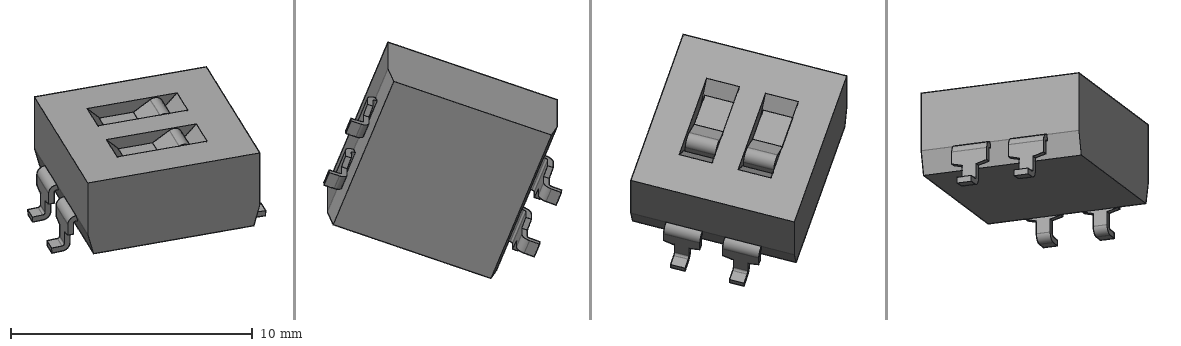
import cadquery as cq
import math

body_width = 7.06
body_length = 7.49
body_bottom = 0.93
body_top = 4.44
taper_height = 1.0
taper_inset = 0.26
taper_top = body_bottom + taper_height

pitch = 2.54
slot_width = 1.42
slot_length = 3.91
slot_depth = 0.94
slot_end_run = 0.9

slider_pitch = 2.52
slider_width = 1.305
slider_flat_depth = 0.52
nub_radius = 0.36
nub_back = 1.32
ramp_angle = math.radians(32.5)

lead_span = 9.32
lead_offset = -0.05
lead_thickness = 0.25
lead_stand_off = 0.36
bend_inner_radius = 0.1
bend_outer_radius = bend_inner_radius + lead_thickness
foot_tilt = math.radians(2)
lead_wide = 1.57
lead_narrow = 0.62
shoulder_top = 1.05
shoulder_bottom = body_bottom


def extrude_along_x(outline, width, center_x):
    """Extrude a YZ outline along X, centred on center_x."""
    return outline.extrude(width / 2, both=True).translate((center_x, 0, 0))


def make_housing():
    """Block whose two end walls lean inwards below the lead exits."""
    half = body_length / 2
    outline = (
        cq.Workplane("YZ")
        .moveTo(-half, body_top)
        .lineTo(half, body_top)
        .lineTo(half, taper_top)
        .lineTo(half - taper_inset, body_bottom)
        .lineTo(-half + taper_inset, body_bottom)
        .lineTo(-half, taper_top)
        .close()
    )
    return extrude_along_x(outline, body_width, 0)


def make_slot(center_x):
    """Cutter for a slot with sloping ends and upright side walls."""
    half = slot_length / 2
    half_floor = half - slot_end_run
    floor = body_top - slot_depth
    outline = (
        cq.Workplane("YZ")
        .moveTo(-half, body_top)
        .lineTo(half, body_top)
        .lineTo(half_floor, floor)
        .lineTo(-half_floor, floor)
        .close()
    )
    return extrude_along_x(outline, slot_width, center_x)


def make_slider(center_x):
    """Slider with a low flat, a ramp and a round nub flush with the housing top."""
    floor = body_top - slot_depth
    flat = body_top - slider_flat_depth
    nub_y = nub_back - nub_radius
    nub_z = body_top - nub_radius
    ramp_start = (
        nub_y - nub_radius * math.sin(ramp_angle),
        nub_z + nub_radius * math.cos(ramp_angle),
    )
    ramp_end = ramp_start[0] - (ramp_start[1] - flat) / math.tan(ramp_angle)
    outline = (
        cq.Workplane("YZ")
        .moveTo(-slot_length / 2, floor)
        .lineTo(-slot_length / 2, flat)
        .lineTo(ramp_end, flat)
        .lineTo(*ramp_start)
        .threePointArc((nub_y, body_top), (nub_back, nub_z))
        .lineTo(nub_back, floor)
        .close()
    )
    return extrude_along_x(outline, slider_width, center_x)


def make_lead(center_x):
    """Gull-wing lead on the +Y end: bent strip trimmed to its shouldered front shape."""
    root = body_length / 2 - taper_inset
    outer = body_length / 2 + lead_stand_off
    inner = outer - lead_thickness
    tilt_sin = math.sin(foot_tilt)
    tilt_cos = math.cos(foot_tilt)
    toe_bottom = (lead_span / 2 - lead_thickness * tilt_sin, 0)
    toe_top = (lead_span / 2, lead_thickness * tilt_cos)
    bend_y = outer + bend_inner_radius
    foot_length = (toe_bottom[0] - bend_y + bend_outer_radius * tilt_sin) / tilt_cos
    bend_z = bend_outer_radius * tilt_cos + foot_length * tilt_sin
    foot_top = (bend_y - bend_inner_radius * tilt_sin, bend_z - bend_inner_radius * tilt_cos)
    foot_bottom = (bend_y - bend_outer_radius * tilt_sin, bend_z - bend_outer_radius * tilt_cos)
    strip = (
        cq.Workplane("YZ")
        .moveTo(root, taper_top)
        .lineTo(outer - bend_outer_radius, taper_top)
        .radiusArc((outer, taper_top - bend_outer_radius), bend_outer_radius)
        .lineTo(outer, bend_z)
        .radiusArc(foot_top, -bend_inner_radius)
        .lineTo(*toe_top)
        .lineTo(*toe_bottom)
        .lineTo(*foot_bottom)
        .radiusArc((inner, bend_z), bend_outer_radius)
        .lineTo(inner, taper_top - bend_outer_radius)
        .radiusArc((inner - bend_inner_radius, taper_top - lead_thickness), -bend_inner_radius)
        .lineTo(root, taper_top - lead_thickness)
        .close()
    )
    front = (
        cq.Workplane("XZ")
        .moveTo(-lead_wide / 2, taper_top)
        .lineTo(lead_wide / 2, taper_top)
        .lineTo(lead_wide / 2, shoulder_top)
        .lineTo(lead_narrow / 2, shoulder_bottom)
        .lineTo(lead_narrow / 2, 0)
        .lineTo(-lead_narrow / 2, 0)
        .lineTo(-lead_narrow / 2, shoulder_bottom)
        .lineTo(-lead_wide / 2, shoulder_top)
        .close()
        .extrude(-lead_span)
        .translate((center_x, 0, 0))
    )
    return extrude_along_x(strip, lead_wide, center_x).intersect(front)


result = make_housing()
for side in (-1, 1):
    result = result.cut(make_slot(side * pitch / 2))
    result = result.union(make_slider(side * slider_pitch / 2))
    lead = make_lead(lead_offset + side * pitch / 2)
    result = result.union(lead).union(lead.mirror("XZ"))